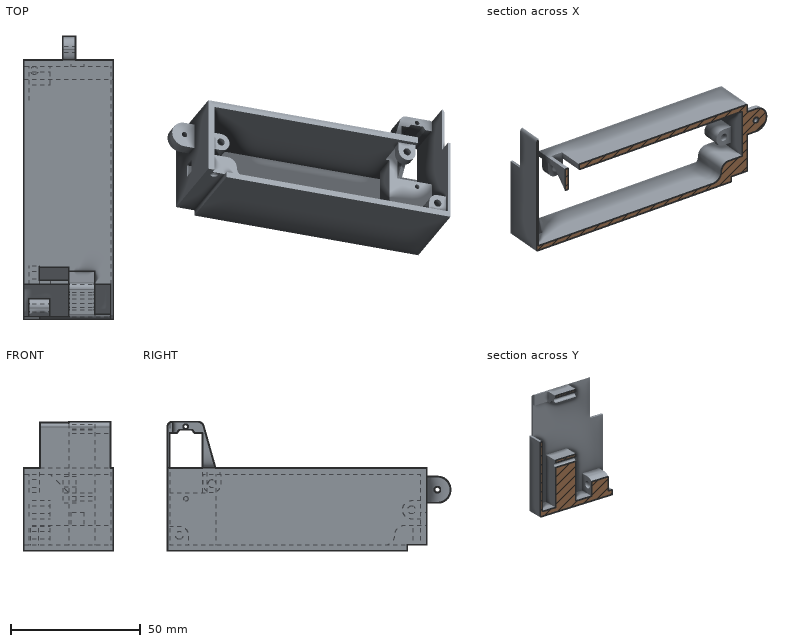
import cadquery as cq
import math

box_width = 34.5
box_length = 100.0
box_height = 32.0
floor_thickness = 2.25
floor_length = 92.5
top_thickness = 2.5
rear_thickness = 2.5
side_thickness = 1.0
front_thickness = 1.0
rear_inside = box_length - rear_thickness
ceiling = box_height - top_thickness
side_inside = box_width - side_thickness

tower_height = 49.8
tower_left = 6.25
tower_round = 2.0
bracket_left = 17.4
bracket_thickness = 9.9
bracket_base = 18.55
bracket_slope = 15.8
bracket_round = 2.5

opening_bottom = 22.3
opening_top = 45.35
opening_rear = 13.5
notch_height = 1.3
notch_half_top = 2.45
notch_half_bottom = 3.45
servo_hole_y = 7.05
servo_hole_heights = (20.15, 47.85)
servo_hole_diameter = 1.8

gusset_thickness = 1.6

cable_slot_left = 6.0
cable_slot_front = opening_rear + gusset_thickness
cable_slot_length = 5.0

boss_radius = 3.5
boss_hole_diameter = 3.0
boss_inset = 2.0
boss_length = 8.0
short_boss_length = 4.0
front_boss_y = front_thickness + boss_radius
front_boss_z = 6.05
top_boss_setback = 0.1
top_boss_y = opening_rear + top_boss_setback + boss_radius
top_boss_z = ceiling - boss_radius
rear_boss_y = rear_inside - boss_radius
rear_boss_z = 15.9

ramp_top = 9.85
ramp_crest_radius = 3.75
ramp_foot_radius = ramp_top - floor_thickness - ramp_crest_radius
ramp_front = 87.5

pin_hole_radius = 1.5
pin_hole_x = 4.0
pin_hole_y = rear_inside - pin_hole_radius

window_left = 18.1
window_width = 5.0
window_height = 5.0

ear_radius = 5.1
ear_reach = 9.17
ear_left = 15.0
ear_thickness = 5.0
ear_z = 23.55
ear_hole_diameter = 2.2


def block(x0, x1, y0, y1, z0, z1):
    """Box between two opposite corners."""
    return cq.Workplane("XY").box(x1 - x0, y1 - y0, z1 - z0, centered=False).translate((x0, y0, z0))


def side_sketch(x):
    """Plane at a given X whose local axes are the part's Y and Z."""
    return cq.Workplane("YZ", origin=(x, 0, 0))


def cross_hole(x, length, y, z, diameter):
    """Round cutter running along +X."""
    return side_sketch(x).center(y, z).circle(diameter / 2).extrude(length)


def make_shell():
    floor = block(0, box_width, 0, floor_length, 0, floor_thickness)
    top = block(0, box_width, opening_rear, box_length, ceiling, box_height)
    rear = block(0, box_width, rear_inside, box_length, floor_thickness, box_height)
    side = block(side_inside, box_width, 0, box_length, floor_thickness, box_height)
    front = block(0, box_width, 0, front_thickness, 0, box_height)
    return floor.union(top).union(rear).union(side).union(front)


def make_tower():
    """Raised front plate, thicker beside the bracket, with the servo bracket attached."""
    plate = block(tower_left, side_inside, 0, front_thickness, 0, tower_height)
    thick_plate = block(bracket_left, side_inside, 0, tower_round, opening_bottom, tower_height)

    slope_run = (tower_height - box_height) * math.tan(math.radians(bracket_slope))
    bracket = (
        side_sketch(bracket_left)
        .moveTo(0, 0)
        .lineTo(bracket_base, 0)
        .lineTo(bracket_base, box_height)
        .lineTo(bracket_base - slope_run, tower_height)
        .lineTo(0, tower_height)
        .close()
        .extrude(bracket_thickness)
        .faces(">Z")
        .edges(">Y")
        .fillet(bracket_round)
    )

    arc_offset = tower_round * math.sqrt(0.5)
    edge_trim = (
        side_sketch(0)
        .moveTo(0, tower_height - tower_round)
        .threePointArc(
            (tower_round - arc_offset, tower_height - tower_round + arc_offset),
            (tower_round, tower_height),
        )
        .lineTo(0, tower_height)
        .close()
        .extrude(box_width)
    )
    return plate.union(thick_plate).union(bracket).cut(edge_trim)


def make_servo_cutters():
    """Servo opening with its notch, and the two screw holes."""
    depth = side_inside - bracket_left
    cutters = (
        side_sketch(bracket_left)
        .moveTo(front_thickness, opening_bottom)
        .lineTo(opening_rear, opening_bottom)
        .lineTo(opening_rear, opening_top)
        .lineTo(servo_hole_y + notch_half_bottom, opening_top)
        .lineTo(servo_hole_y + notch_half_top, opening_top + notch_height)
        .lineTo(servo_hole_y - notch_half_top, opening_top + notch_height)
        .lineTo(servo_hole_y - notch_half_bottom, opening_top)
        .lineTo(front_thickness, opening_top)
        .close()
        .extrude(depth)
    )
    for z in servo_hole_heights:
        hole = cross_hole(bracket_left, bracket_thickness, servo_hole_y, z, servo_hole_diameter)
        cutters = cutters.union(hole)
    return cutters


def make_gusset():
    """Triangular web on the left face of the bracket, flush with the rear of the opening."""
    drop = ceiling - opening_bottom
    return (
        cq.Workplane("XZ", origin=(0, opening_rear + gusset_thickness, 0))
        .moveTo(bracket_left, opening_bottom)
        .lineTo(bracket_left, ceiling)
        .lineTo(bracket_left - drop, ceiling)
        .close()
        .extrude(gusset_thickness)
    )


def make_boss(y, z, length, feet):
    """Round boss along X, joined to the walls by feet given as (y0, y1, z0, z1)."""
    boss = side_sketch(boss_inset).center(y, z).circle(boss_radius).extrude(length)
    for y0, y1, z0, z1 in feet:
        boss = boss.union(block(boss_inset, boss_inset + length, y0, y1, z0, z1))
    return boss.cut(cross_hole(boss_inset, length, y, z, boss_hole_diameter))


def make_bosses():
    front_feet = [
        (front_thickness, front_boss_y, floor_thickness, front_boss_z + boss_radius),
        (front_boss_y - boss_radius, front_boss_y + boss_radius, floor_thickness, front_boss_z),
    ]
    top_feet = [(top_boss_y - boss_radius, top_boss_y + boss_radius, top_boss_z, ceiling)]
    rear_feet = [(rear_boss_y, rear_inside, rear_boss_z - boss_radius, rear_boss_z + boss_radius)]
    bosses = make_boss(front_boss_y, front_boss_z, boss_length, front_feet)
    bosses = bosses.union(make_boss(top_boss_y, top_boss_z, short_boss_length, top_feet))
    return bosses.union(make_boss(rear_boss_y, rear_boss_z, boss_length, rear_feet))


def make_ramp():
    """S-shaped ramp from the rear wall down to the floor."""
    bend_z = ramp_top - ramp_crest_radius
    ramp = (
        side_sketch(boss_inset)
        .moveTo(rear_inside, floor_thickness)
        .lineTo(rear_inside, ramp_top)
        .lineTo(ramp_front + ramp_crest_radius, ramp_top)
        .radiusArc((ramp_front, bend_z), -ramp_crest_radius)
        .radiusArc((ramp_front - ramp_foot_radius, floor_thickness), ramp_foot_radius)
        .close()
        .extrude(side_inside - boss_inset)
    )
    pin_hole = (
        cq.Workplane("XY", origin=(pin_hole_x, pin_hole_y, floor_thickness))
        .circle(pin_hole_radius)
        .extrude(ramp_top - floor_thickness)
    )
    return ramp.cut(pin_hole)


def make_ear():
    ear_y = box_length + ear_reach - ear_radius
    tab = block(
        ear_left, ear_left + ear_thickness, box_length, ear_y, ear_z - ear_radius, ear_z + ear_radius
    )
    end = side_sketch(ear_left).center(ear_y, ear_z).circle(ear_radius).extrude(ear_thickness)
    return tab.union(end).cut(cross_hole(ear_left, ear_thickness, ear_y, ear_z, ear_hole_diameter))


cable_slot = block(
    cable_slot_left,
    bracket_left,
    cable_slot_front,
    cable_slot_front + cable_slot_length,
    ceiling,
    box_height,
)

window = block(
    window_left,
    window_left + window_width,
    rear_inside,
    box_length,
    ramp_top,
    ramp_top + window_height,
)

result = make_shell().cut(cable_slot).cut(window)
result = result.union(make_tower()).cut(make_servo_cutters()).union(make_gusset())
result = result.union(make_bosses()).union(make_ramp()).union(make_ear())